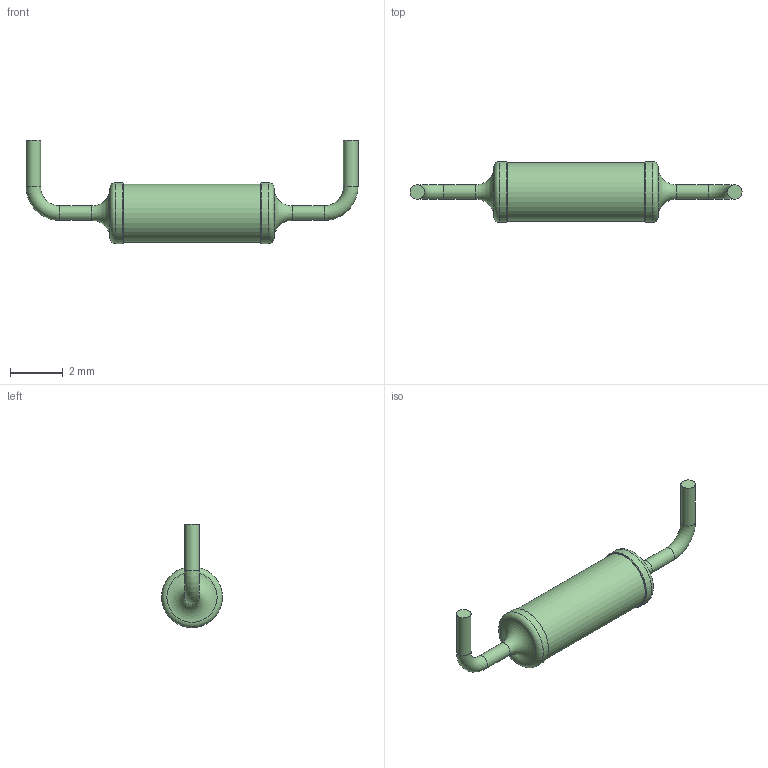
import cadquery as cq

body_diameter = 2.2
cap_diameter = 2.3
lead_diameter = 0.55

lead_pitch = 12.0
lead_height = 2.75
bend_radius = 1.0

body_length = 5.2
capped_length = 6.2
cap_edge_radius = 0.2
cap_lip_chamfer = 0.02
flare_length = 0.7

body_radius = body_diameter / 2
cap_radius = cap_diameter / 2
lead_radius = lead_diameter / 2
lead_x = lead_pitch / 2

cap_inner_x = body_length / 2
cap_outer_x = capped_length / 2
rim_start_x = cap_outer_x - cap_edge_radius
rim_radius = cap_radius - cap_edge_radius
flare_end_x = cap_outer_x + flare_length


def make_body():
    """Plain cylinder centred on the origin, reaching into both caps."""
    return cq.Workplane("YZ").circle(body_radius).extrude(rim_start_x, both=True)


def make_cap():
    """Cap on the +X end: bevelled lip, rounded rim and a flare narrowing to the lead."""
    profile = (
        cq.Workplane("XY")
        .moveTo(cap_inner_x, 0)
        .lineTo(cap_inner_x, cap_radius - cap_lip_chamfer)
        .lineTo(cap_inner_x + cap_lip_chamfer, cap_radius)
        .lineTo(rim_start_x, cap_radius)
        .tangentArcPoint((cap_outer_x, rim_radius), relative=False)
        .tangentArcPoint((flare_end_x, lead_radius), relative=False)
        .lineTo(flare_end_x, 0)
        .close()
    )
    return profile.revolve(360, (0, 0, 0), (1, 0, 0))


def make_lead():
    """Round wire on the +X end: straight out of the flare, then bent up to +Z."""
    path = (
        cq.Workplane("XZ")
        .moveTo(flare_end_x, 0)
        .lineTo(lead_x - bend_radius, 0)
        .tangentArcPoint((lead_x, bend_radius), relative=False)
        .lineTo(lead_x, lead_height)
    )
    section = cq.Workplane("YZ", origin=(flare_end_x, 0, 0)).circle(lead_radius)
    return section.sweep(path)


right_end = make_cap().union(make_lead())
left_end = right_end.mirror("YZ")
result = make_body().union(right_end).union(left_end)